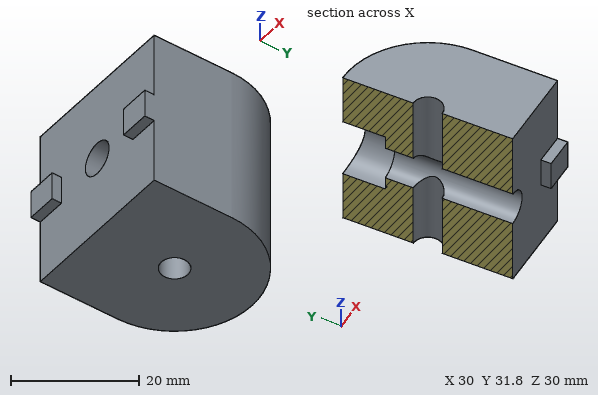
import cadquery as cq

width = 30.0
height = width
back_radius = width / 2
total_depth = 31.8

tab_depth = total_depth - width
tab_width = 5.6
tab_height = 5.35

vertical_hole_diameter = 5.1
bolt_hole_diameter = 6.23
counterbore_diameter = 11.0
counterbore_depth = back_radius / 2

front_y = -width / 2
back_y = back_radius


def make_body():
    return (
        cq.Workplane("XY", origin=(0, 0, -height / 2))
        .moveTo(-width / 2, front_y)
        .lineTo(width / 2, front_y)
        .lineTo(width / 2, 0)
        .threePointArc((0, back_y), (-width / 2, 0))
        .close()
        .extrude(height)
    )


def make_tab(side):
    """Tab flush with the left (-1) or right (+1) side of the body."""
    center_x = side * (width - tab_width) / 2
    return (
        cq.Workplane("XZ", origin=(center_x, front_y, 0))
        .rect(tab_width, tab_height)
        .extrude(tab_depth)
    )


def cylinder_from_back(diameter, depth):
    """Cylinder along Y, running forward from the rearmost point."""
    return cq.Workplane("XZ", origin=(0, back_y, 0)).circle(diameter / 2).extrude(depth)


result = make_body()
for side in (-1, 1):
    result = result.union(make_tab(side))

vertical_hole = (
    cq.Workplane("XY", origin=(0, 0, -height / 2))
    .circle(vertical_hole_diameter / 2)
    .extrude(height)
)
result = result.cut(vertical_hole)

result = result.cut(cylinder_from_back(bolt_hole_diameter, width))
result = result.cut(cylinder_from_back(counterbore_diameter, counterbore_depth))